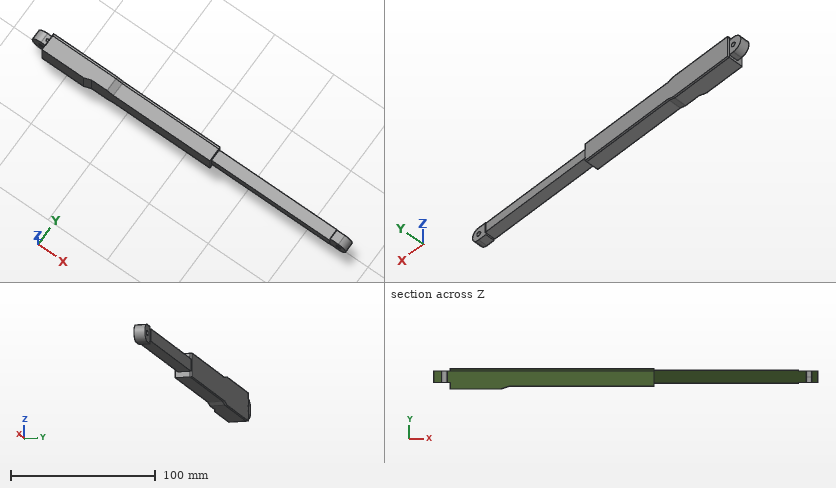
import cadquery as cq

total_length = 265.5
total_depth = 14.0
total_height = 20.0

case_start = 11.5
case_end = 152.5
neck_start = 65.3
neck_end = 70.5
neck_height = 16.7
step_start = 46.7
step_end = 52.3
step_depth = 1.9
cover_thickness = 1.5

eye_width = 8.0
rear_eye_radius = 7.5
rear_hole_diameter = 3.7
rod_eye_radius = 6.0
rod_hole_diameter = 3.7

slot_width = 1.5
slot_length = 2.0
slot_depth = 0.8

rod_end = 252.2
rod_width = 9.3
rod_height = 8.8

axis_y = -(cover_thickness + eye_width / 2)


def block(x_start, x_end, width, height):
    """Box centred on the actuator axis between two X positions."""
    return cq.Workplane("XY").box(x_end - x_start, width, height).translate(
        ((x_start + x_end) / 2, axis_y, 0)
    )


def make_eye(root_x, tip_x, radius, hole_diameter):
    """Flat lug from root_x with a round tip at tip_x and a cross hole."""
    direction = 1 if tip_x > root_x else -1
    centre_x = tip_x - direction * radius
    eye = (
        cq.Workplane("XZ")
        .moveTo(root_x, radius)
        .lineTo(centre_x, radius)
        .threePointArc((tip_x, 0), (centre_x, -radius))
        .lineTo(root_x, -radius)
        .close()
        .extrude(eye_width / 2, both=True)
    )
    hole = (
        cq.Workplane("XZ")
        .center(centre_x, 0)
        .circle(hole_diameter / 2)
        .extrude(eye_width, both=True)
    )
    return eye.cut(hole).translate((0, axis_y, 0))


def case_slab(back_y, thickness):
    """Necked side outline of the case, extruded from back_y toward -Y."""
    half_height = total_height / 2
    half_neck = neck_height / 2
    return (
        cq.Workplane("XZ", origin=(0, back_y, 0))
        .moveTo(case_start, half_height)
        .lineTo(neck_start, half_height)
        .lineTo(neck_end, half_neck)
        .lineTo(case_end, half_neck)
        .lineTo(case_end, -half_neck)
        .lineTo(neck_end, -half_neck)
        .lineTo(neck_start, -half_height)
        .lineTo(case_start, -half_height)
        .close()
        .extrude(thickness)
    )


def make_housing():
    """Case with a sloped step on its front face and the rear mounting eye."""
    case = case_slab(-cover_thickness, total_depth - cover_thickness)
    step = (
        cq.Workplane("XY")
        .moveTo(step_start, -total_depth)
        .lineTo(step_end, -total_depth + step_depth)
        .lineTo(case_end, -total_depth + step_depth)
        .lineTo(case_end, -total_depth)
        .close()
        .extrude(total_height, both=True)
    )
    slot = block(case_start - slot_length, case_start, slot_width, 2 * slot_depth)
    eye = make_eye(case_start, 0, rear_eye_radius, rear_hole_diameter)
    eye = eye.cut(slot.translate((0, 0, rear_eye_radius)))
    return case.cut(step).union(eye)


def make_cover():
    """Thin strip closing the back of the housing."""
    return case_slab(0, cover_thickness)


def make_rod():
    """Square rod standing out of the housing, ending in its mounting eye."""
    shaft = block(case_end, rod_end, rod_width, rod_height)
    return shaft.union(make_eye(rod_end, total_length, rod_eye_radius, rod_hole_diameter))


housing = make_housing()
cover = make_cover()
rod = make_rod()

result = cq.Compound.makeCompound([housing.val(), cover.val(), rod.val()])